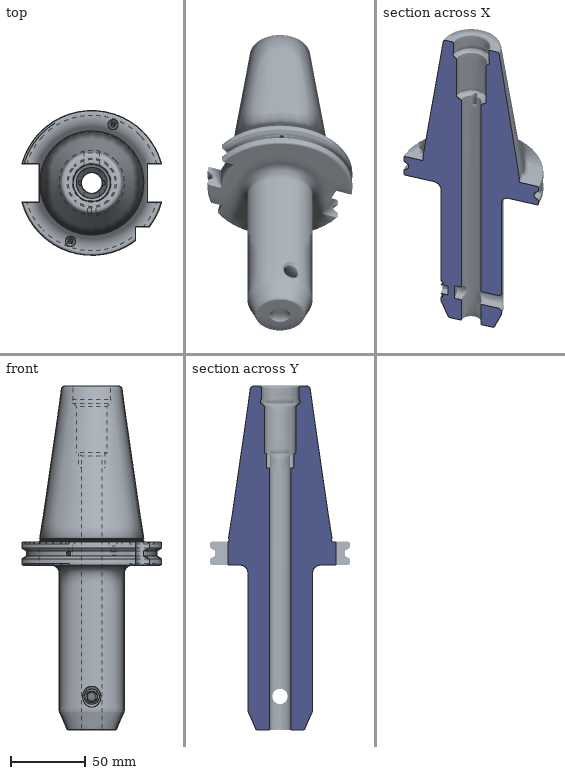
import cadquery as cq
import math

gauge_radius = 69.85 / 2
taper_length = 101.75
taper_slope = 7 / 48
taper_end_fillet = 2.5

collar_height = 1.0
undercut_depth = 0.6
undercut_floor = 0.4

flange_radius = 97.5 / 2
flange_top = -3.2
flange_bottom = -19.1
flange_rim_fillet = 1.4
groove_floor_radius = 91.25 / 2
groove_center = -11.1
groove_floor_width = 3.2
groove_mouth_width = 7.4

slot_width = 25.7
slot_floor_left = -35.5
slot_floor_right = 37.7
notch_x = 29.5
notch_y = -29.6

port_pitch_radius = 41.8
port_angles = (70, 250)
port_mouth_diameter = 6.8
port_hole_diameter = 3.0
port_countersink_depth = 3.0
port_depth = 9.0
port_vent_diameter = 3.0

body_radius = 22.0
body_end = -130.0
flange_fillet = 5.0
nose_length = 12.7
nose_end_radius = 16.4
nose_shoulder_fillet = 4.2
nose_end_chamfer = 0.6

tool_bore_radius = 7.0
pilot_bore_radius = 12.5
pilot_bore_depth = 9.2
pilot_mouth_fillet = 1.5
relief_radius = 13.0
relief_height = 2.5
thread_bore_radius = 10.4
thread_bore_depth = 45.0
drill_half_angle = 59
coolant_hole_diameter = 3.2
coolant_hole_offset = 7.4
coolant_hole_depth = 10.0

screw_height = body_end + 22.5
screw_radius = 5.1
screw_countersink_radius = 7.0
screw_face = 21.8
screw_face_radius = 3.9
screw_length = 10.0
screw_socket_flats = 6.0
screw_socket_depth = 5.0
screw_socket_turn = 30

axial_plane = cq.Plane(origin=(0, 0, 0), xDir=(0, -1, 0), normal=(-1, 0, 0))
axis_start = (0, 0, 0)
axis_end = (0, 1, 0)


def revolve_profile(points):
    return cq.Workplane(axial_plane).polyline(points).close().revolve(360, axis_start, axis_end)


def shank():
    top_radius = gauge_radius - taper_length * taper_slope
    collar_radius = gauge_radius + collar_height * taper_slope
    undercut_radius = collar_radius - undercut_depth
    undercut_top = -collar_height - undercut_depth
    undercut_bottom = undercut_top - undercut_floor
    taper = revolve_profile([
        (0, taper_length),
        (top_radius, taper_length),
        (collar_radius, -collar_height),
        (undercut_radius, undercut_top),
        (undercut_radius, undercut_bottom),
        (collar_radius, undercut_bottom - undercut_depth),
        (collar_radius, flange_top),
        (0, flange_top),
    ])
    return taper.faces(">Z").edges().fillet(taper_end_fillet)


def body():
    nose_start = body_end + nose_length
    barrel = revolve_profile([
        (0, flange_bottom),
        (body_radius, flange_bottom),
        (body_radius, nose_start),
        (nose_end_radius, body_end),
        (0, body_end),
    ])
    shoulder = cq.selectors.NearestToPointSelector((0, 0, nose_start))
    barrel = barrel.edges(shoulder).fillet(nose_shoulder_fillet)
    return barrel.faces("<Z").edges().chamfer(nose_end_chamfer)


def flange():
    half_floor = groove_floor_width / 2
    half_mouth = groove_mouth_width / 2
    disc = revolve_profile([
        (0, flange_top),
        (flange_radius, flange_top),
        (flange_radius, groove_center + half_mouth),
        (groove_floor_radius, groove_center + half_floor),
        (groove_floor_radius, groove_center - half_floor),
        (flange_radius, groove_center - half_mouth),
        (flange_radius, flange_bottom),
        (0, flange_bottom),
    ])
    return disc.faces("<Z or >Z").edges().fillet(flange_rim_fillet)


def flange_block(x_size, y_size, x_min, y_min):
    height = flange_top - flange_bottom
    return cq.Workplane("XY", origin=(x_min, y_min, flange_bottom)).box(
        x_size, y_size, height, centered=False)


def cut_flange_openings(part):
    reach = flange_radius
    part = part.cut(flange_block(reach, slot_width, slot_floor_left - reach, -slot_width / 2))
    part = part.cut(flange_block(reach, slot_width, slot_floor_right, -slot_width / 2))
    return part.cut(flange_block(reach, reach, notch_x, notch_y - reach))


def flange_root_fillet():
    return (
        cq.Workplane(axial_plane)
        .moveTo(body_radius, flange_bottom)
        .lineTo(body_radius + flange_fillet, flange_bottom)
        .radiusArc((body_radius, flange_bottom - flange_fillet), -flange_fillet)
        .close()
        .revolve(360, axis_start, axis_end)
    )


def cut_coolant_port(part, angle):
    x = port_pitch_radius * math.cos(math.radians(angle))
    y = port_pitch_radius * math.sin(math.radians(angle))
    hole = cq.Workplane("XY", origin=(x, y, flange_top)).circle(port_hole_diameter / 2).extrude(-port_depth)
    countersink = cq.Workplane(cq.Solid.makeCone(
        port_mouth_diameter / 2,
        port_hole_diameter / 2,
        port_countersink_depth,
        cq.Vector(x, y, flange_top),
        cq.Vector(0, 0, -1),
    ))
    vent = cq.Workplane(cq.Solid.makeCylinder(
        port_vent_diameter / 2,
        flange_radius - port_pitch_radius,
        cq.Vector(x, y, groove_center),
        cq.Vector(x, y, 0),
    ))
    return part.cut(hole).cut(countersink).cut(vent)


def axial_bore():
    drill_tip = (thread_bore_radius - tool_bore_radius) / math.tan(math.radians(drill_half_angle))
    pilot_end = taper_length - pilot_bore_depth
    relief_end = pilot_end - relief_height
    thread_start = relief_end - (pilot_bore_radius - thread_bore_radius)
    thread_end = taper_length - thread_bore_depth
    return (
        cq.Workplane(axial_plane)
        .moveTo(0, taper_length)
        .lineTo(pilot_bore_radius + pilot_mouth_fillet, taper_length)
        .radiusArc((pilot_bore_radius, taper_length - pilot_mouth_fillet), -pilot_mouth_fillet)
        .lineTo(pilot_bore_radius, pilot_end)
        .lineTo(relief_radius, pilot_end)
        .lineTo(relief_radius, relief_end)
        .lineTo(pilot_bore_radius, relief_end)
        .lineTo(thread_bore_radius, thread_start)
        .lineTo(thread_bore_radius, thread_end)
        .lineTo(tool_bore_radius, thread_end - drill_tip)
        .lineTo(tool_bore_radius, body_end)
        .lineTo(0, body_end)
        .close()
        .revolve(360, axis_start, axis_end)
    )


def coolant_holes():
    return (
        cq.Workplane("XY", origin=(0, 0, taper_length - thread_bore_depth))
        .pushPoints([(-coolant_hole_offset, 0), (coolant_hole_offset, 0)])
        .circle(coolant_hole_diameter / 2)
        .extrude(-coolant_hole_depth)
    )


def screw_hole():
    hole = (
        cq.Workplane("XZ", origin=(0, 0, screw_height))
        .circle(screw_radius)
        .extrude(body_radius, both=True)
    )
    for side in (-1, 1):
        countersink = cq.Workplane(cq.Solid.makeCone(
            screw_countersink_radius,
            screw_radius,
            screw_countersink_radius - screw_radius,
            cq.Vector(0, side * body_radius, screw_height),
            cq.Vector(0, -side, 0),
        ))
        hole = hole.union(countersink)
    return hole


def clamping_screw():
    screw = (
        cq.Workplane("XZ", origin=(0, screw_length - screw_face, screw_height))
        .circle(screw_radius)
        .extrude(screw_length)
        .faces("<Y").edges().chamfer(screw_radius - screw_face_radius)
    )
    socket = (
        cq.Workplane("XZ", origin=(0, -screw_face, screw_height))
        .transformed(rotate=(0, 0, screw_socket_turn))
        .polygon(6, screw_socket_flats / math.cos(math.pi / 6))
        .extrude(-screw_socket_depth)
    )
    return screw.cut(socket)


result = shank().union(cut_flange_openings(flange())).union(body()).union(flange_root_fillet())
for port_angle in port_angles:
    result = cut_coolant_port(result, port_angle)
result = result.cut(axial_bore()).cut(coolant_holes()).cut(screw_hole())
result = result.union(clamping_screw())